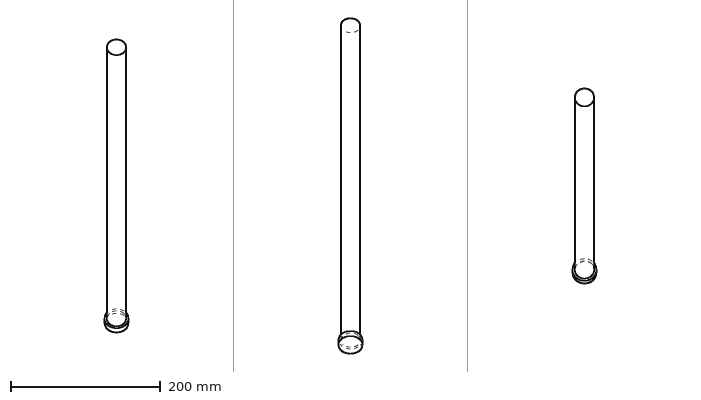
import cadquery as cq

total_length = 630.0
head_diameter = 32.0
head_height = 10.0
shaft_diameter = 26.0

head = cq.Workplane("XY").circle(head_diameter / 2).extrude(head_height)

shaft = cq.Workplane("XY").circle(shaft_diameter / 2).extrude(total_length)

result = head.union(shaft)